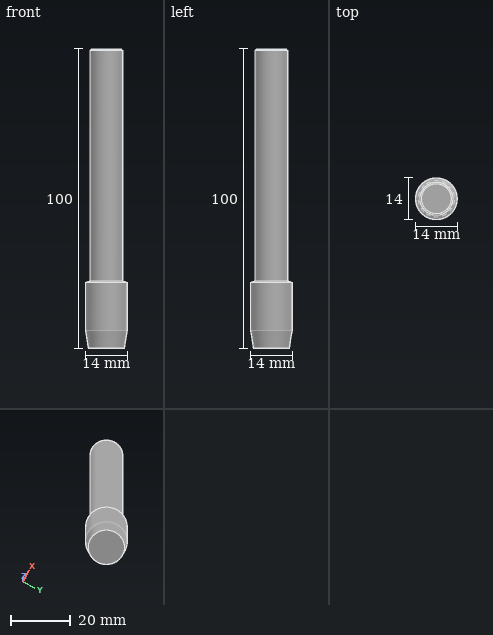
import cadquery as cq

total_length = 100.0

rod_diameter = 11.0
rod_chamfer = 0.5

barrel_diameter = 14.0
barrel_top = 22.0
shoulder_height = 0.5
tip_diameter = 12.1
tip_length = 6.0

base_length = barrel_top + shoulder_height


def make_rod():
    """Round rod standing on the base, with a chamfered top edge."""
    rod = (
        cq.Workplane("XY")
        .workplane(offset=base_length)
        .circle(rod_diameter / 2)
        .extrude(total_length - base_length)
    )
    return rod.faces(">Z").edges().chamfer(rod_chamfer)


def make_base():
    """Revolved base that narrows at its bottom tip and slopes up to the rod at its shoulder."""
    profile = [
        (0, 0),
        (tip_diameter / 2, 0),
        (barrel_diameter / 2, tip_length),
        (barrel_diameter / 2, barrel_top),
        (rod_diameter / 2, base_length),
        (0, base_length),
    ]
    return cq.Workplane("XZ").polyline(profile).close().revolve(360, (0, 0), (0, 1))


rod = make_rod()
base = make_base()

result = cq.Compound.makeCompound([rod.val(), base.val()])